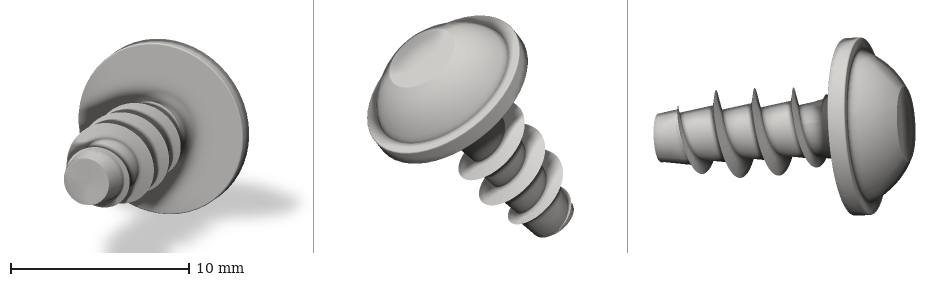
import cadquery as cq
import math


flange_radius = 5.0
flange_thickness = 1.0
flange_edge_fillet = 0.08
dome_base_radius = 4.3
dome_top_radius = 2.13
head_height = 3.3

neck_radius = 1.715
neck_length = 1.22
neck_fillet = 0.45

shank_length = 11.0
root_radius_min = 1.39
root_radius_max = 1.66
root_slope = 0.157
neck_cone_length = 1.3
tip_radius = 1.37
tip_recess_radius = 1.25
tip_recess_depth = 0.05

pitch = 2.24
helix_origin = -0.38
flank_angle = 30.0
crest_radius = 2.5
lead_in_start_radius = 1.69
lead_in_knee_turn = 0.25
lead_in_knee_radius = 1.95
full_crest_start = 1.45
full_crest_end = 3.29
thread_end_turn = 4.72
thread_end_radius = 1.35
ease_start = 0.15
root_blend_end = 0.4
root_blend_drop = 0.1
root_end_turn = 4.95

thread_base_radius = 1.2
root_core_radius = 1.0
core_inset = 0.02
root_sweep_gap = 0.09
points_per_turn = 24
min_steps = 4
head_joint_height = flange_thickness / 2

flank_slope = math.tan(math.radians(flank_angle / 2))
root_half_width = flank_slope * (crest_radius - root_radius_max)
neck_end_turn = (helix_origin + neck_length) / pitch
ease_end = 2 * neck_end_turn - ease_start
ease_factor = pitch / (2 * (ease_end - ease_start))

crest_law = [
    (0.0, lead_in_start_radius),
    (lead_in_knee_turn, lead_in_knee_radius),
    (full_crest_start, crest_radius),
    (full_crest_end, crest_radius),
    (thread_end_turn, thread_end_radius),
]


def crest_height(turn):
    """Axial position of the thread crest."""
    if turn <= ease_start:
        return -neck_length
    if turn <= ease_end:
        return -neck_length - ease_factor * (turn - ease_start) ** 2
    return helix_origin - pitch * turn


def crest_radius_at(turn):
    """Crest radius, piecewise linear along the helix."""
    for (start, start_radius), (end, end_radius) in zip(crest_law, crest_law[1:]):
        if turn <= end:
            return start_radius + (end_radius - start_radius) * (turn - start) / (end - start)
    return thread_end_radius


def thread_profile(turn):
    """V section as (radius, offset from the crest height) corners."""
    radius = crest_radius_at(turn)
    half_width = flank_slope * (radius - thread_base_radius)
    return [(thread_base_radius, half_width), (radius, 0.0), (thread_base_radius, -half_width)]


def root_profile(turn):
    """Sloping root section that fills the space between two turns of the thread."""
    drop = root_blend_drop * max(0.0, 1 - turn / root_blend_end)
    length = pitch - root_sweep_gap
    upper_radius = root_radius_max + root_slope * root_half_width - drop
    return [
        (root_core_radius, 0.0),
        (upper_radius, 0.0),
        (upper_radius - root_slope * length, -length),
        (root_core_radius, -length),
    ]


def helix_points(profile, turn):
    """Corners of the section at a turn, placed in space."""
    angle = 2 * math.pi * turn
    height = crest_height(turn)
    return [
        cq.Vector(radius * math.cos(angle), height + offset, radius * math.sin(angle))
        for radius, offset in profile(turn)
    ]


def helical_solid(profile, breaks):
    """Sweep a varying section along the helix, one smooth stretch between breaks."""
    faces = []
    for start, end in zip(breaks, breaks[1:]):
        steps = max(min_steps, math.ceil((end - start) * points_per_turn))
        turns = [start + (end - start) * i / steps for i in range(steps + 1)]
        paths = zip(*[helix_points(profile, turn) for turn in turns])
        edges = [cq.Edge.makeSpline(list(path)) for path in paths]
        for edge, following in zip(edges, edges[1:] + edges[:1]):
            faces.append(cq.Face.makeRuledSurface(edge, following))
    for turn in (breaks[0], breaks[-1]):
        outline = cq.Wire.makePolygon(helix_points(profile, turn), close=True)
        faces.append(cq.Face.makeFromWires(outline))
    solid = cq.Solid.makeSolid(cq.Shell.makeShell(faces))
    return cq.Workplane(solid.fix())


def revolve(outline):
    """Turn a closed half outline around the screw axis."""
    return outline.close().revolve(360, (0, 0, 0), (0, 1, 0))


def make_head():
    """Washer flange with rounded edges under a flat-topped dome."""
    flange = revolve(
        cq.Workplane("XY")
        .lineTo(flange_radius, 0)
        .lineTo(flange_radius, flange_thickness)
        .lineTo(0, flange_thickness)
    )
    flange = flange.edges().fillet(flange_edge_fillet)
    centre = (
        dome_top_radius**2 + head_height**2 - dome_base_radius**2 - flange_thickness**2
    ) / (2 * (head_height - flange_thickness))
    sphere_radius = math.hypot(dome_base_radius, flange_thickness - centre)
    middle_height = (flange_thickness + head_height) / 2
    middle_radius = math.sqrt(sphere_radius**2 - (middle_height - centre) ** 2)
    dome = revolve(
        cq.Workplane("XY")
        .moveTo(0, head_joint_height)
        .lineTo(dome_base_radius, head_joint_height)
        .lineTo(dome_base_radius, flange_thickness)
        .threePointArc((middle_radius, middle_height), (dome_top_radius, head_height))
        .lineTo(0, head_height)
    )
    return flange.union(dome)


def make_neck():
    """Filleted neck, the cone below it and the plain core inside the root."""
    fillet_middle = neck_fillet * (1 - math.sqrt(0.5))
    return revolve(
        cq.Workplane("XY")
        .moveTo(0, head_joint_height)
        .lineTo(neck_radius + neck_fillet, head_joint_height)
        .lineTo(neck_radius + neck_fillet, 0)
        .threePointArc(
            (neck_radius + fillet_middle, -fillet_middle), (neck_radius, -neck_fillet)
        )
        .lineTo(neck_radius, -neck_length)
        .lineTo(root_radius_min, -neck_length - neck_cone_length)
        .lineTo(tip_radius - core_inset, -shank_length)
        .lineTo(0, -shank_length)
    )


def make_root():
    """Sloping root, trimmed by the neck end and by the conical tip."""
    trim_radius = neck_radius - core_inset
    tip_cone_length = (trim_radius - tip_radius) / root_slope
    envelope = revolve(
        cq.Workplane("XY")
        .lineTo(trim_radius, 0)
        .lineTo(trim_radius, tip_cone_length - shank_length)
        .lineTo(tip_radius, -shank_length)
        .lineTo(0, -shank_length)
    )
    breaks = [0.0, ease_start, root_blend_end, ease_end, root_end_turn]
    return helical_solid(root_profile, breaks).intersect(envelope)


def make_thread():
    """Sharp V thread that rises at the neck and runs out at the tip."""
    breaks = sorted({turn for turn, _ in crest_law} | {ease_start, ease_end})
    return helical_solid(thread_profile, breaks)


def make_tip_recess():
    """Shallow conical dish in the tip face."""
    return revolve(
        cq.Workplane("XY")
        .moveTo(0, -shank_length)
        .lineTo(tip_recess_radius, -shank_length)
        .lineTo(0, tip_recess_depth - shank_length)
    )


def make_tip_trim():
    """Space beyond the tip face, to trim the thread end."""
    return (
        cq.Workplane("XZ", origin=(0, -shank_length, 0))
        .circle(crest_radius)
        .extrude(pitch)
    )


shank = make_neck().union(make_thread()).union(make_root())
shank = shank.cut(make_tip_trim()).cut(make_tip_recess())
result = make_head().union(shank)